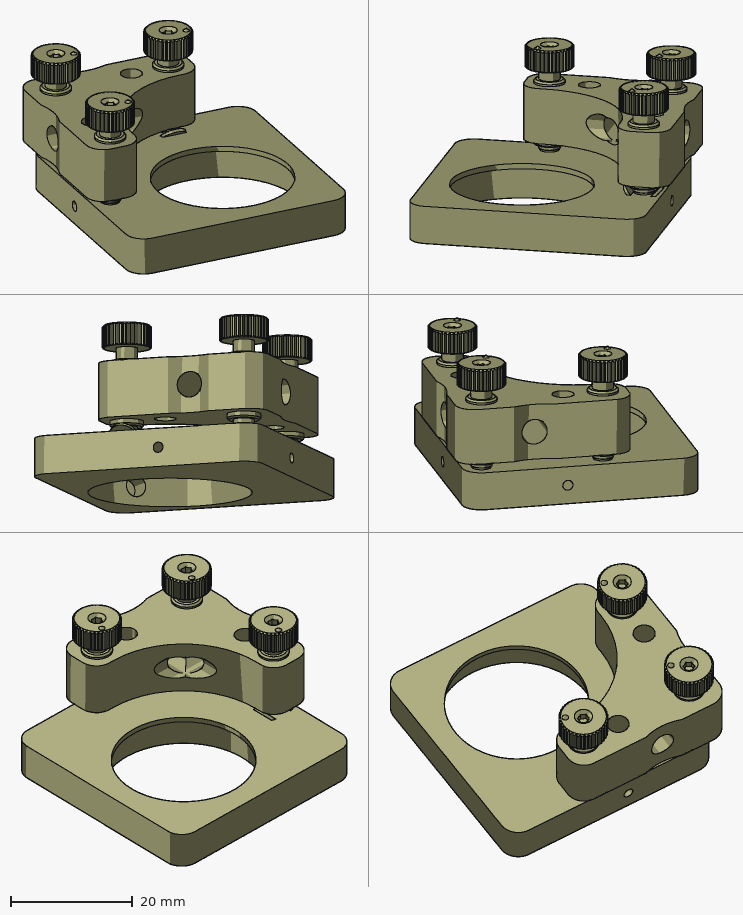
import cadquery as cq
import math


OUTER = 41.3

PLATE_SIDE = 39.7
PLATE_HEIGHT = 6.4
PLATE_CORNER = 3.25
OPTIC_CENTRE = 25.35
OPTIC_CLEAR_DIA = 23.78
OPTIC_BORE_DIA = 27.0
LIP_THICKNESS = 0.9
RELIEF_DIA = 3.45
RELIEF_LENGTH = 4.13
SET_SCREW_DIA = 1.7
SET_SCREW_DEPTH = 4.95
SET_SCREW_PLACE = 18.65

BLOCK_GAP = 2.05
BLOCK_HEIGHT = 9.45
BLOCK_SIDE = 29.45
BLOCK_CORNER = 3.2
ARM_CORNER = 3.1
BLOCK_ARC_RADIUS = 16.5
MOUNT_HOLE_DIA = 4.25
MOUNT_HOLE_PLACE = 12.75
SCALLOP_WIDTH = 7.0
SCALLOP_DEPTH = 0.6
PIN_HOLE_DIA = 3.6
PIN_HOLE_PLACE = 18.6

SCREW_PLACE = 4.85
SCREW_PITCH = 20.5
STEM_DIA = 3.55
TIP_DIA = 3.2
TIP_HEIGHT = 0.35
TIP_SUNK = 0.2
UPPER_COLLAR_DIA = 5.2
UPPER_COLLAR_HEIGHT = 0.65
UPPER_COLLAR_CHAMFER = 0.35
LOWER_COLLAR_DIA = 5.55
LOWER_COLLAR_HEIGHT = 1.0
LOWER_COLLAR_CHAMFER = 0.3
KNOB_DIA = 8.1
KNOB_ROOT_DIA = 7.5
KNOB_HEIGHT = 3.75
KNOB_CLEARANCE = 2.72
KNOB_LOWER_CHAMFER = 0.15
TOOTH_COUNT = 36
TOOTH_TIP_SHARE = 0.45
HEX_ACROSS_FLATS = 1.65
HEX_DEPTH = 1.65
SINK_DIA = 2.97
SINK_DEPTH = 0.58
MARK_DIA = 1.07
MARK_HEIGHT = 0.4
MARK_RADIUS = 2.97
MARK_ANGLE = 62.0

PAD_DIA = 4.8
PAD_THICKNESS = 0.55
PAD_TILT = 45.0
PAD_OFFSET = 1.3
PAD_SUNK = 0.4

block_bottom = PLATE_HEIGHT + BLOCK_GAP
block_top = block_bottom + BLOCK_HEIGHT
block_middle = block_bottom + BLOCK_HEIGHT / 2
knob_bottom = block_top + KNOB_CLEARANCE
knob_top = knob_bottom + KNOB_HEIGHT
far_screw = SCREW_PLACE + SCREW_PITCH
v_seat_screw = (SCREW_PLACE, far_screw)
screw_places = [(SCREW_PLACE, SCREW_PLACE), (far_screw, SCREW_PLACE), v_seat_screw]


def cylinder(x, y, bottom, top, diameter):
    return cq.Workplane("XY", origin=(x, y, bottom)).circle(diameter / 2).extrude(top - bottom)


def hole_along_x(y, z, diameter, length):
    return cq.Workplane("YZ").center(y, z).circle(diameter / 2).extrude(length)


def hole_along_y(x, z, diameter, length):
    return cq.Workplane("XZ").center(x, z).circle(diameter / 2).extrude(-length)


def make_plate():
    centre = OUTER - PLATE_SIDE / 2
    plate = (
        cq.Workplane("XY")
        .center(centre, centre)
        .rect(PLATE_SIDE, PLATE_SIDE)
        .extrude(PLATE_HEIGHT)
        .edges("|Z")
        .fillet(PLATE_CORNER)
    )
    lip_bottom = PLATE_HEIGHT - LIP_THICKNESS
    plate = plate.cut(cylinder(OPTIC_CENTRE, OPTIC_CENTRE, 0, PLATE_HEIGHT, OPTIC_CLEAR_DIA))
    plate = plate.cut(cylinder(OPTIC_CENTRE, OPTIC_CENTRE, 0, lip_bottom, OPTIC_BORE_DIA))

    middle = PLATE_HEIGHT / 2
    hole_end = OUTER - PLATE_SIDE + SET_SCREW_DEPTH
    plate = plate.cut(hole_along_x(SET_SCREW_PLACE, middle, SET_SCREW_DIA, hole_end))
    plate = plate.cut(hole_along_y(SET_SCREW_PLACE, middle, SET_SCREW_DIA, hole_end))

    relief_plane = cq.Plane(
        origin=(OPTIC_CENTRE, OPTIC_CENTRE, middle), xDir=(1, -1, 0), normal=(1, 1, 0)
    )
    relief_reach = OPTIC_BORE_DIA / 2 + RELIEF_LENGTH
    return plate.cut(cq.Workplane(relief_plane).circle(RELIEF_DIA / 2).extrude(relief_reach))


def make_block():
    arm_edge = OPTIC_CENTRE - BLOCK_ARC_RADIUS
    arc_middle = OPTIC_CENTRE - BLOCK_ARC_RADIUS * math.sqrt(0.5)
    scallop_start = MOUNT_HOLE_PLACE - SCALLOP_WIDTH / 2
    scallop_end = MOUNT_HOLE_PLACE + SCALLOP_WIDTH / 2
    block = (
        cq.Workplane("XY", origin=(0, 0, block_bottom))
        .moveTo(0, 0)
        .lineTo(scallop_start, 0)
        .threePointArc((MOUNT_HOLE_PLACE, SCALLOP_DEPTH), (scallop_end, 0))
        .lineTo(BLOCK_SIDE, 0)
        .lineTo(BLOCK_SIDE, arm_edge)
        .lineTo(OPTIC_CENTRE, arm_edge)
        .threePointArc((arc_middle, arc_middle), (arm_edge, OPTIC_CENTRE))
        .lineTo(arm_edge, BLOCK_SIDE)
        .lineTo(0, BLOCK_SIDE)
        .lineTo(0, scallop_end)
        .threePointArc((SCALLOP_DEPTH, MOUNT_HOLE_PLACE), (0, scallop_start))
        .close()
        .extrude(BLOCK_HEIGHT)
    )
    main_corner = cq.selectors.NearestToPointSelector((0, 0, block_middle))
    block = block.edges(main_corner).fillet(BLOCK_CORNER)
    for x, y in [(0, BLOCK_SIDE), (arm_edge, BLOCK_SIDE), (BLOCK_SIDE, 0), (BLOCK_SIDE, arm_edge)]:
        arm_end = cq.selectors.NearestToPointSelector((x, y, block_middle))
        block = block.edges(arm_end).fillet(ARM_CORNER)

    block = block.cut(hole_along_x(MOUNT_HOLE_PLACE, block_middle, MOUNT_HOLE_DIA, BLOCK_SIDE))
    block = block.cut(hole_along_y(MOUNT_HOLE_PLACE, block_middle, MOUNT_HOLE_DIA, BLOCK_SIDE))
    for x, y in [(SCREW_PLACE, PIN_HOLE_PLACE), (PIN_HOLE_PLACE, SCREW_PLACE)]:
        block = block.cut(cylinder(x, y, block_bottom, block_top, PIN_HOLE_DIA))
    return block


def make_knob():
    """Knurled knob on the Z axis, with a hex socket and an index mark on top."""
    knob = cylinder(0, 0, knob_bottom, knob_top, KNOB_DIA)
    tip_radius = KNOB_DIA / 2
    root_radius = KNOB_ROOT_DIA / 2
    groove_depth = tip_radius - root_radius
    knob = knob.faces(">Z").chamfer(groove_depth)
    knob = knob.faces("<Z").chamfer(KNOB_LOWER_CHAMFER)

    pitch_angle = 2 * math.pi / TOOTH_COUNT
    groove_half_width = tip_radius * pitch_angle * (1 - TOOTH_TIP_SHARE) / 2
    groove = (
        cq.Workplane("XY", origin=(0, 0, knob_bottom))
        .polyline([
            (root_radius, 0),
            (tip_radius + groove_depth, -2 * groove_half_width),
            (tip_radius + groove_depth, 2 * groove_half_width),
        ])
        .close()
        .extrude(KNOB_HEIGHT)
    )
    grooves = cq.Workplane("XY")
    for index in range(TOOTH_COUNT):
        turn = math.degrees(index * pitch_angle)
        grooves = grooves.add(groove.rotate((0, 0, 0), (0, 0, 1), turn))
    knob = knob.cut(cq.Workplane(cq.Compound.makeCompound(grooves.vals())))

    hex_corner_dia = HEX_ACROSS_FLATS / math.cos(math.pi / 6)
    top = cq.Workplane("XY", origin=(0, 0, knob_top))
    knob = knob.cut(top.polygon(6, hex_corner_dia).extrude(-HEX_DEPTH))
    countersink = cq.Solid.makeCone(
        HEX_ACROSS_FLATS / 2, SINK_DIA / 2, SINK_DEPTH, cq.Vector(0, 0, knob_top - SINK_DEPTH)
    )
    knob = knob.cut(cq.Workplane(countersink))

    angle = math.radians(MARK_ANGLE)
    mark_place = cq.Vector(MARK_RADIUS * math.cos(angle), MARK_RADIUS * math.sin(angle), knob_top)
    mark = cq.Solid.makeCone(MARK_DIA / 2, 0, MARK_HEIGHT, mark_place)
    return knob.union(cq.Workplane(mark))


def make_screw():
    """Complete adjuster screw on the Z axis, from its seated tip to its knob."""
    stem_bottom = PLATE_HEIGHT + TIP_HEIGHT
    collar_bottom = block_bottom - LOWER_COLLAR_HEIGHT
    collar_top = block_top + UPPER_COLLAR_HEIGHT
    tip = cylinder(0, 0, PLATE_HEIGHT - TIP_SUNK, stem_bottom, TIP_DIA)
    stem = cylinder(0, 0, stem_bottom, knob_bottom, STEM_DIA)
    lower_collar = cylinder(0, 0, collar_bottom, block_bottom, LOWER_COLLAR_DIA)
    lower_collar = lower_collar.faces("<Z").chamfer(LOWER_COLLAR_CHAMFER)
    upper_collar = cylinder(0, 0, block_top, collar_top, UPPER_COLLAR_DIA)
    upper_collar = upper_collar.faces(">Z").chamfer(UPPER_COLLAR_CHAMFER)
    return stem.union(tip).union(lower_collar).union(upper_collar).union(make_knob())


def make_v_pad(side):
    """One pad of the V seat; side is -1 or 1 along X."""
    x, y = v_seat_screw
    tilt = math.radians(PAD_TILT)
    face_centre = (x + side * PAD_OFFSET, y, PLATE_HEIGHT - PAD_SUNK)
    facing = (-side * math.sin(tilt), 0, math.cos(tilt))
    pad_plane = cq.Plane(origin=face_centre, xDir=(0, 1, 0), normal=facing)
    return cq.Workplane(pad_plane).circle(PAD_DIA / 2).extrude(-PAD_THICKNESS)


result = make_plate().union(make_block())
for side in (-1, 1):
    result = result.union(make_v_pad(side))
screw = make_screw()
for x, y in screw_places:
    result = result.union(screw.translate((x, y, 0)))